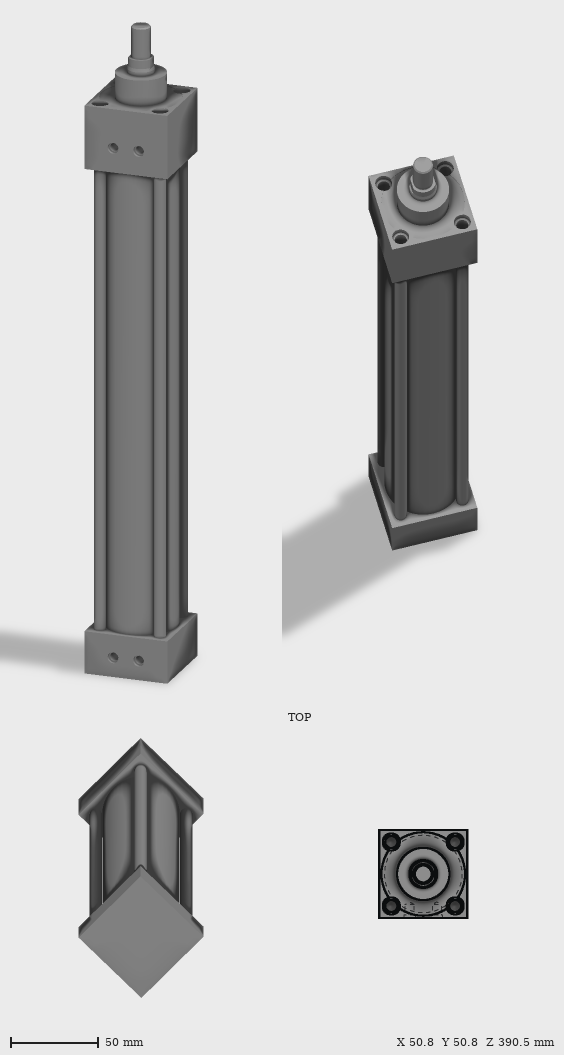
import cadquery as cq
import math

total_length = 390.5
cover_width = 50.8
half_width = cover_width / 2

cap_height = 25.8
head_height = 38.5
head_top = 346.8
head_bottom = head_top - head_height

boss_diameter = 30.0
boss_top = 362.0
recess_diameter = 48.0
recess_depth = 0.5

barrel_diameter = 44.5
tie_rod_diameter = 7.0
corner_offset = 18.5

screw_bore_diameter = 9.8
screw_bore_depth = 4.0
screw_hole_diameter = 7.0
screw_hole_depth = 15.5

port_spacing = 15.5
port_mouth_diameter = 6.5
port_mouth_depth = 2.0
port_diameter = 5.0
port_depth = 8.0
cap_port_height = 11.7
head_port_height = 323.0

drill_point_angle = 118.0

shank_diameter = 16.0
shank_top = 364.5
shoulder_diameter = 15.0
shoulder_bottom = 366.5
shoulder_top = 371.5
flat_bottom = 365.5
flat_width = 13.3
rod_end_diameter = 11.5
rod_end_chamfer = 0.8
rod_bottom = head_bottom

corner_positions = [
    (x_side * corner_offset, y_side * corner_offset) for x_side in (-1, 1) for y_side in (-1, 1)
]


def cylinder(diameter, bottom, top):
    """Upright cylinder on the Z axis."""
    return cq.Workplane().workplane(offset=bottom).circle(diameter / 2).extrude(top - bottom)


def revolve_profile(outline):
    """Solid of revolution about Z from (radius, height) points."""
    return cq.Workplane("XZ").polyline(outline).close().revolve(360, (0, 0, 0), (0, 1, 0))


def cover_block(bottom, height):
    """Square cover block centred on the Z axis."""
    return cq.Workplane().workplane(offset=bottom).rect(cover_width, cover_width).extrude(height)


def stepped_hole(mouth_diameter, mouth_depth, bore_diameter, bore_depth):
    """Counterbored blind hole with a drilled cone bottom, going down from the origin."""
    mouth_radius = mouth_diameter / 2
    bore_radius = bore_diameter / 2
    point_length = bore_radius / math.tan(math.radians(drill_point_angle / 2))
    outline = [
        (0, 0),
        (mouth_radius, 0),
        (mouth_radius, -mouth_depth),
        (bore_radius, -mouth_depth),
        (bore_radius, -bore_depth),
        (0, -bore_depth - point_length),
    ]
    return revolve_profile(outline)


def cut_ports(cover, port_height):
    """Cut the pair of stepped blind ports into the -Y face of a cover."""
    port = stepped_hole(port_mouth_diameter, port_mouth_depth, port_diameter, port_depth)
    port = port.rotate((0, 0, 0), (1, 0, 0), 90)
    for side in (-1, 1):
        cover = cover.cut(port.translate((side * port_spacing / 2, -half_width, port_height)))
    return cover


def make_cap():
    """Rear cover with its ports and four tie rods that reach up to the head."""
    tie_rods = (
        cq.Workplane()
        .workplane(offset=cap_height)
        .pushPoints(corner_positions)
        .circle(tie_rod_diameter / 2)
        .extrude(head_bottom - cap_height)
    )
    cap = cover_block(0, cap_height).union(tie_rods)
    return cut_ports(cap, cap_port_height)


def make_barrel():
    """Round barrel between the two covers."""
    return cylinder(barrel_diameter, cap_height, head_bottom)


def make_head():
    """Front cover with its boss, rod bore, corner screw holes and ports."""
    head = cover_block(head_bottom, head_height)
    head = head.cut(cylinder(recess_diameter, head_top - recess_depth, head_top))
    head = head.union(cylinder(boss_diameter, head_top - recess_depth, boss_top))
    head = head.cut(cylinder(shank_diameter, head_bottom, boss_top))
    screw_hole = stepped_hole(
        screw_bore_diameter, screw_bore_depth, screw_hole_diameter, screw_hole_depth
    )
    for x, y in corner_positions:
        head = head.cut(screw_hole.translate((x, y, head_top)))
    return cut_ports(head, head_port_height)


def make_rod():
    """Piston rod with two wrench flats facing -X and +X below its thin end."""
    outline = [
        (0, rod_bottom),
        (shank_diameter / 2, rod_bottom),
        (shank_diameter / 2, shank_top),
        (shoulder_diameter / 2, shoulder_bottom),
        (shoulder_diameter / 2, shoulder_top),
        (rod_end_diameter / 2, shoulder_top),
        (rod_end_diameter / 2, total_length - rod_end_chamfer),
        (rod_end_diameter / 2 - rod_end_chamfer, total_length),
        (0, total_length),
    ]
    rod = revolve_profile(outline)
    flat_zone = cq.Workplane().workplane(offset=flat_bottom)
    flat_height = shoulder_top - flat_bottom
    waste = flat_zone.circle(shank_diameter).rect(flat_width, shank_diameter).extrude(flat_height)
    return rod.cut(waste)


cap = make_cap()
barrel = make_barrel()
head = make_head()
rod = make_rod()

bodies = [cap, barrel, head, rod]
result = cq.Compound.makeCompound([body.solids().val() for body in bodies])